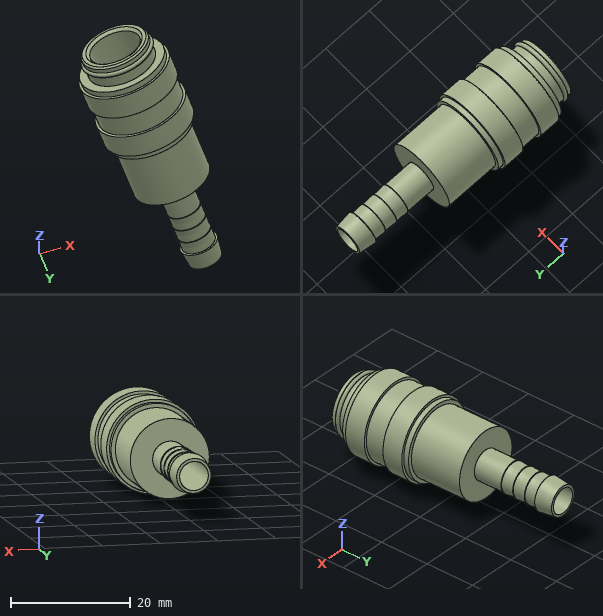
import cadquery as cq

length = 46.0

band_radius = 8.1
sleeve_radius = 7.6
body_radius = 6.85
nose_radius = 6.03
stem_radius = 3.0
stem_ridge_radius = 3.15
tip_base_radius = 3.4

nose_end = 3.95
front_band_start = 5.0
rear_band_start = 13.25
band_width = 4.15
sleeve_end = 18.45
body_end = 29.03

nose_chamfer = 0.3
bead_height = 0.4
bead_half_width = 0.45
bead_center = 1.55

tip_length = 3.35
first_ridge_offset = 4.6
ridge_length = 1.25
ridge_pitch = 2.58
ridge_count = 3

socket_radius = 4.5
socket_depth = 17.35
socket_chamfer = 0.5
step_radius = 3.55
step_end = 23.0
through_radius = 2.5


def cylinder(radius, start, end):
    """Solid cylinder on the Y axis between two stations."""
    return revolve([(0, start), (radius, start), (radius, end), (0, end)])


def cone(start_radius, end_radius, start, end):
    """Truncated cone on the Y axis between two stations."""
    return revolve([(0, start), (start_radius, start), (end_radius, end), (0, end)])


def revolve(points):
    """Turn a closed (radius, Y) outline around the Y axis; the seam lies on the -X side."""
    outline = [(-radius, y) for radius, y in points]
    return cq.Workplane("XY").polyline(outline).close().revolve(360, (0, 0), (0, 1))


def make_nose():
    nose = cylinder(nose_radius, 0, nose_end).faces("<Y").chamfer(nose_chamfer)
    bead_start = bead_center - bead_half_width
    bead_end = bead_center + bead_half_width
    bead_crest = (-nose_radius - bead_height, bead_center)
    bead = (
        cq.Workplane("XY")
        .moveTo(0, bead_start)
        .lineTo(-nose_radius, bead_start)
        .threePointArc(bead_crest, (-nose_radius, bead_end))
        .lineTo(0, bead_end)
        .close()
        .revolve(360, (0, 0), (0, 1))
    )
    return nose.union(bead)


def make_body():
    body = cylinder(sleeve_radius, nose_end, sleeve_end)
    for start in (front_band_start, rear_band_start):
        body = body.union(cylinder(band_radius, start, start + band_width))
    return body.union(cylinder(body_radius, sleeve_end, body_end))


def make_hose_barb():
    barb = cylinder(stem_radius, body_end, length)
    barb = barb.union(cone(tip_base_radius, stem_radius, length - tip_length, length))
    for index in range(ridge_count):
        ridge_end = length - first_ridge_offset - index * ridge_pitch
        ridge = cone(stem_ridge_radius, stem_radius, ridge_end - ridge_length, ridge_end)
        barb = barb.union(ridge)
    return barb


def make_bore():
    bore = cylinder(socket_radius, 0, socket_depth)
    bore = bore.union(cone(socket_radius + socket_chamfer, socket_radius, 0, socket_chamfer))
    bore = bore.union(cylinder(step_radius, socket_depth, step_end))
    return bore.union(cylinder(through_radius, step_end, length))


result = make_body().union(make_hose_barb()).union(make_nose()).cut(make_bore())